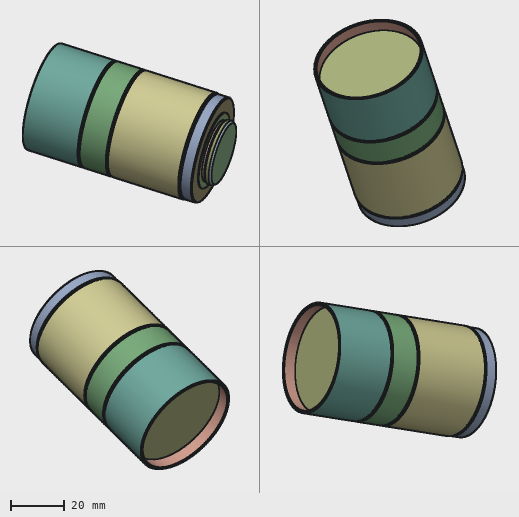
import cadquery as cq

total_length = 73.0
barrel_diameter = 42.0
barrel_radius = barrel_diameter / 2
rim_chamfer = 0.3

recess_radius = 19.9
recess_depth = 5.0

groove_centers = (22.85, 34.3, 63.65)
groove_width = 0.45
groove_depth = 0.7
groove_chamfer = 0.3

collar_radius = 20.7
collar_end = 68.6
collar_chamfer = 0.45

shoulder_radius = 14.9
shoulder_height = 0.45
neck_radius = 12.05
neck_end = 70.0
flange_radius = 12.7
flange_bevel_length = 0.95


def disc(start, end, radius):
    """Solid cylinder along X between two stations."""
    return cq.Workplane("YZ", origin=(start, 0, 0)).circle(radius).extrude(end - start)


def ring_groove(center, radius):
    """Revolved cutter for a groove with chamfered edges in a surface of the given radius."""
    half_floor = groove_width / 2
    half_mouth = half_floor + groove_chamfer
    outside = barrel_radius + groove_depth
    return (
        cq.Workplane("XY")
        .moveTo(center - half_floor, barrel_radius - groove_depth)
        .lineTo(center - half_floor, barrel_radius - groove_chamfer)
        .lineTo(center - half_mouth, barrel_radius)
        .lineTo(center - half_mouth, outside)
        .lineTo(center + half_mouth, outside)
        .lineTo(center + half_mouth, radius)
        .lineTo(center + half_floor, radius - groove_chamfer)
        .lineTo(center + half_floor, barrel_radius - groove_depth)
        .close()
        .revolve(360, (0, 0, 0), (1, 0, 0))
    )


def make_barrel():
    """Recessed barrel with both edges of its open rim chamfered, plus the collar."""
    collar_start = groove_centers[-1]
    recess = disc(0, recess_depth, recess_radius)
    barrel = disc(0, collar_start, barrel_radius).cut(recess)
    barrel = barrel.faces("<X").chamfer(rim_chamfer)
    collar = disc(0, collar_end, collar_radius).faces(">X").chamfer(collar_chamfer)
    barrel = barrel.union(collar.cut(disc(0, collar_start, barrel_radius)))
    for center in groove_centers:
        right_radius = collar_radius if center == collar_start else barrel_radius
        barrel = barrel.cut(ring_groove(center, right_radius))
    return barrel


def make_mount():
    """Shoulder, neck and bevelled flange as one revolved profile."""
    shoulder_end = collar_end + shoulder_height
    flange_start = neck_end + flange_radius - neck_radius
    root = groove_centers[-1]
    return (
        cq.Workplane("XY")
        .moveTo(root, 0)
        .lineTo(root, shoulder_radius)
        .lineTo(shoulder_end, shoulder_radius)
        .lineTo(shoulder_end, neck_radius)
        .lineTo(neck_end, neck_radius)
        .lineTo(flange_start, flange_radius)
        .lineTo(total_length - flange_bevel_length, flange_radius)
        .lineTo(total_length, neck_radius)
        .lineTo(total_length, 0)
        .close()
        .revolve(360, (0, 0, 0), (1, 0, 0))
    )


result = make_barrel().union(make_mount())